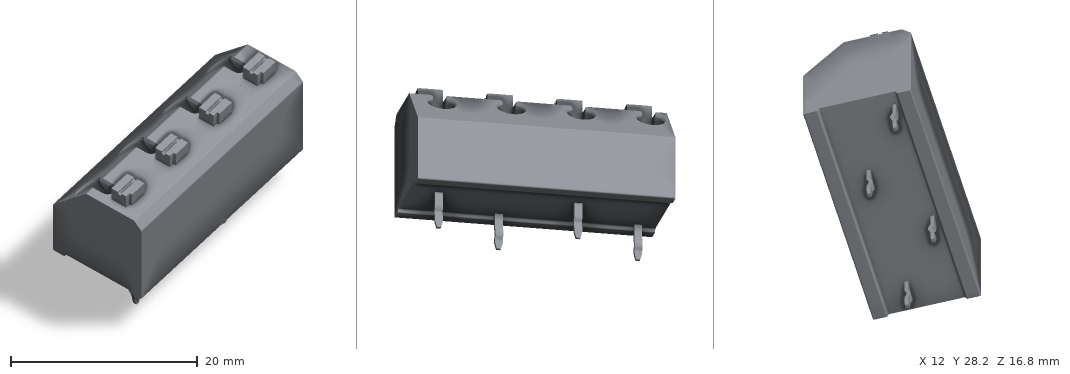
import cadquery as cq
import math


row_length = 28.17
end_plate_width = 1.5
pole_count = 4
spacer_count = pole_count - 1
slice_width = (row_length - end_plate_width) / (pole_count + spacer_count)

block_width = 12.0
block_height = 11.5
wire_slope_size = 4.5
back_bevel_size = 1.01
foot_width = 1.58
foot_flare = 0.17
foot_height = 0.4
bend_radius = 0.25
foot_radius = 0.17

hole_offset = 1.77
hole_x = 3.15
hole_radius = 1.46
hole_rim_radius = 1.6
hole_depth = 3.65
ramp_start_depth = 2.37
bottom_ramp_rise = 0.2
side_ramp_rise = 0.9
hole_direction = (1, 0, -1)
slope_normal = (1, 0, 1)

slot_width = 1.46
slot_end_x = 6.55
slot_bottom_z = 8.73

bevel_width = hole_rim_radius - hole_radius
hole_bevel_depth = 0.25
slot_bevel_depth = 0.42
hole_bevel_taper = math.degrees(math.atan2(bevel_width, hole_bevel_depth))
slot_bevel_taper = math.degrees(math.atan2(bevel_width, slot_bevel_depth))

button_x = 7.15
button_width = 2.3
button_height = 1.7
button_setback = 0.03
button_length = 2.75
button_notch_width = 0.35
button_notch_length = 0.62
groove_x = 8.03
groove_width = 0.48
groove_depth = 0.35
groove_corner_bevel = 0.15

pin_front_x = 4.5
pin_back_x = 9.5
pin_thickness = 0.42
pin_width = 0.87
pin_length = 3.6
pin_tip_length = 0.73
pin_tip_width = 0.45
kink_shift = 0.25
kink_centre_z = -1.85
kink_inner_radius = 0.5

unit_diagonal = math.sqrt(0.5)


def slice_block(back_y, width):
    """Plain slice of the block, running from back_y toward -Y."""
    outline = [
        (0, 0),
        (foot_width, 0),
        (foot_width + foot_flare, foot_height),
        (block_width - foot_width - foot_flare, foot_height),
        (block_width - foot_width, 0),
        (block_width, 0),
        (block_width, block_height - back_bevel_size),
        (block_width - back_bevel_size, block_height),
        (wire_slope_size, block_height),
        (0, block_height - wire_slope_size),
    ]
    block = cq.Workplane("XZ", origin=(0, back_y, 0)).polyline(outline).close().extrude(width)
    end_y = back_y - width
    middle_z = block_height / 2
    feet_edges = cq.selectors.BoxSelector(
        (-foot_width, end_y, -foot_height), (block_width + foot_width, back_y, middle_z)
    )
    roof_edges = cq.selectors.BoxSelector(
        (-foot_width, end_y, middle_z), (block_width + foot_width, back_y, 2 * block_height)
    )
    return (
        block.edges("|Y")
        .edges(roof_edges)
        .fillet(bend_radius)
        .edges("|Y")
        .edges(feet_edges)
        .fillet(foot_radius)
    )


def hole_point(depth, height):
    """X and Z of a point in the hole's middle plane, by depth along its axis and height above it."""
    mouth_z = block_height - wire_slope_size + hole_x
    return (
        hole_x + (depth + height) * unit_diagonal,
        mouth_z + (height - depth) * unit_diagonal,
    )


def hole_ramp(centre_y, section_normal, wall_height, rise):
    """Wedge that narrows the hole toward its floor, where it stands off the wall by the rise.

    The wall height is signed: it tells on which side of the hole's axis the wedge lies.
    """
    mouth_x, mouth_z = hole_point(0, 0)
    height_at_floor = wall_height - math.copysign(rise, wall_height)
    wedge_section = [
        (ramp_start_depth, wall_height),
        (hole_depth, height_at_floor),
        (hole_depth, wall_height),
    ]
    return (
        cq.Workplane(cq.Plane((mouth_x, centre_y, mouth_z), hole_direction, section_normal))
        .polyline(wedge_section)
        .close()
        .extrude(hole_radius, both=True)
    )


def hole_cutter(centre_y):
    """Round hole with a bevelled mouth, narrowed by ramps on both sides and along its bottom."""
    mouth_x, mouth_z = hole_point(0, 0)
    mouth = cq.Workplane(cq.Plane((mouth_x, centre_y, mouth_z), (0, 1, 0), hole_direction))
    bore = (
        mouth.circle(hole_radius)
        .extrude(hole_depth)
        .cut(hole_ramp(centre_y, (0, -1, 0), -hole_radius, bottom_ramp_rise))
        .cut(hole_ramp(centre_y, slope_normal, -hole_radius, side_ramp_rise))
        .cut(hole_ramp(centre_y, slope_normal, hole_radius, side_ramp_rise))
    )
    bevel = mouth.circle(hole_rim_radius).extrude(hole_bevel_depth, taper=hole_bevel_taper)
    return bore.union(bevel)


def slot_cutter(centre_y):
    """Upright slot from the hole to the top face, bevelled along the top face and the slope."""
    length = slot_end_x - hole_x
    middle_x = slot_end_x - length / 2
    top = cq.Workplane("XY", origin=(middle_x, centre_y, block_height))
    slot = top.slot2D(length, slot_width).extrude(slot_bottom_z - block_height)
    rim_width = slot_width + 2 * bevel_width
    top_bevel = (
        top.slot2D(length + 2 * bevel_width, rim_width)
        .extrude(-slot_bevel_depth, taper=slot_bevel_taper)
    )

    mouth_x, mouth_z = hole_point(0, 0)
    slope_length = (wire_slope_size - hole_x) / unit_diagonal
    slope_section = [
        (-rim_width / 2, 0),
        (rim_width / 2, 0),
        (slot_width / 2, -slot_bevel_depth),
        (-slot_width / 2, -slot_bevel_depth),
    ]
    slope_bevel = (
        cq.Workplane(cq.Plane((mouth_x, centre_y, mouth_z), (0, -1, 0), slope_normal))
        .polyline(slope_section)
        .close()
        .extrude(slope_length)
    )
    return slot.union(top_bevel).union(slope_bevel)


def push_button(back_y):
    """Grooved button with one notched corner, standing on the top face."""
    front_y = back_y - button_length
    right_x = button_x + button_width
    outline = [
        (button_x, back_y),
        (right_x, back_y),
        (right_x, front_y + button_notch_length),
        (right_x - button_notch_width, front_y + button_notch_length),
        (right_x - button_notch_width, front_y),
        (button_x, front_y),
    ]
    button = (
        cq.Workplane("XY", origin=(0, 0, block_height)).polyline(outline).close().extrude(button_height)
    )
    groove = (
        cq.Workplane("XY", origin=(groove_x, front_y, block_height + button_height - groove_depth))
        .box(groove_width, button_length, groove_depth, centered=False)
        .edges("|Y and <Z")
        .chamfer(groove_corner_bevel)
    )
    return button.cut(groove)


def solder_pin(left_x, centre_y, kink_side):
    """Flat pin with a springy kink toward +X (kink_side 1) or -X (kink_side -1) and a tapered tip."""
    middle_radius = kink_inner_radius + pin_thickness / 2
    angle = math.acos(1 - kink_shift / (2 * middle_radius))
    middle_x = left_x + pin_thickness / 2

    def side_points(side):
        """Points down one long side of the pin; side is 1 toward the kink and -1 away from it."""
        half_thickness = side * pin_thickness / 2
        end_radius = middle_radius - half_thickness
        half_kink = [
            (half_thickness, 2 * middle_radius * math.sin(angle)),
            (
                middle_radius - end_radius * math.cos(angle / 2),
                2 * middle_radius * math.sin(angle) - end_radius * math.sin(angle / 2),
            ),
            (
                middle_radius - end_radius * math.cos(angle),
                2 * middle_radius * math.sin(angle) - end_radius * math.sin(angle),
            ),
            (kink_shift + half_thickness, 0),
        ]
        mirrored = [(shift, -height) for shift, height in reversed(half_kink[:3])]
        return [
            (middle_x + kink_side * shift, kink_centre_z + height)
            for shift, height in half_kink + mirrored
        ]

    down = side_points(1)
    up = list(reversed(side_points(-1)))
    profile = (
        cq.Workplane("XZ", origin=(0, centre_y, 0))
        .moveTo(down[0][0], foot_height)
        .lineTo(*down[0])
        .threePointArc(down[1], down[2])
        .threePointArc(down[3], down[4])
        .threePointArc(down[5], down[6])
        .lineTo(down[0][0], -pin_length)
        .lineTo(up[0][0], -pin_length)
        .lineTo(*up[0])
        .threePointArc(up[1], up[2])
        .threePointArc(up[3], up[4])
        .threePointArc(up[5], up[6])
        .lineTo(up[0][0], foot_height)
        .close()
    )
    strip = profile.extrude(pin_width / 2, both=True)

    face_outline = [
        (-pin_width / 2, foot_height),
        (pin_width / 2, foot_height),
        (pin_width / 2, pin_tip_length - pin_length),
        (pin_tip_width / 2, -pin_length),
        (-pin_tip_width / 2, -pin_length),
        (-pin_width / 2, pin_tip_length - pin_length),
    ]
    face_prism = (
        cq.Workplane("YZ", origin=(middle_x, centre_y, 0))
        .polyline(face_outline)
        .close()
        .extrude(pin_thickness + kink_shift, both=True)
    )
    return strip.intersect(face_prism)


def pole(back_y, pin_x, kink_side):
    """One terminal: a slice with its wire hole, slot, button and pin."""
    hole_y = back_y - hole_offset
    return (
        slice_block(back_y, slice_width)
        .cut(hole_cutter(hole_y))
        .cut(slot_cutter(hole_y))
        .union(push_button(back_y - button_setback))
        .union(solder_pin(pin_x, hole_y, kink_side))
    )


end_plate = slice_block(row_length, end_plate_width)

first_pole_y = row_length - end_plate_width
poles = []
for index in range(pole_count):
    pole_y = first_pole_y - 2 * index * slice_width
    if index % 2 == 0:
        poles.append(pole(pole_y, pin_front_x, 1))
    else:
        poles.append(pole(pole_y, pin_back_x, -1))

spacers = []
for index in range(spacer_count):
    spacer_y = first_pole_y - (2 * index + 1) * slice_width
    spacers.append(slice_block(spacer_y, slice_width))

result = cq.Compound.makeCompound([body.solids().val() for body in [end_plate, *poles, *spacers]])